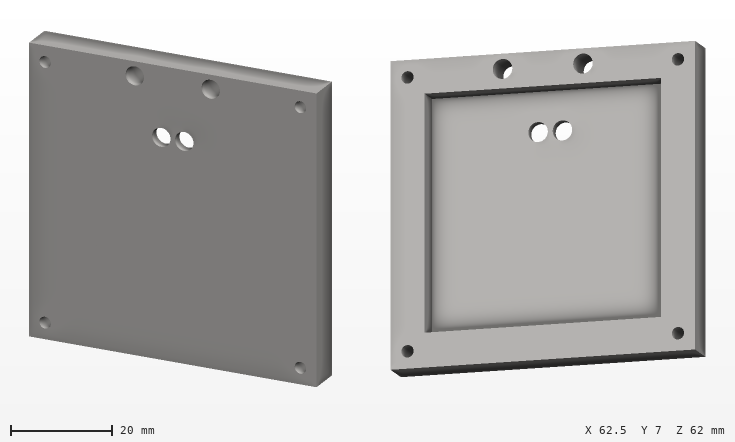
import cadquery as cq

width = 62.5
thickness = 7.0
height = 62.0

mount_diameter = 2.5
mount_inset = 3.5

port_diameter = 4.0
upper_spacing = 16.5
upper_top_distance = 3.05
lower_spacing = 5.0
lower_top_distance = 15.05

rim_width = 2 * mount_inset
floor_thickness = 2.0


def drill(body, points, diameter):
    """Drill through the full thickness at (x, z) points measured from the plate centre."""
    return body.faces("<Y").workplane(origin=(0, 0, 0)).pushPoints(points).hole(diameter)


def mirrored_pair(spacing, top_distance):
    """Two points at the same height, equally far left and right of centre."""
    z = height / 2 - top_distance
    return [(side * spacing / 2, z) for side in (-1, 1)]


mount_spacing = width - 2 * mount_inset
mount_points = []
for top_distance in (mount_inset, height - mount_inset):
    mount_points += mirrored_pair(mount_spacing, top_distance)

port_points = mirrored_pair(upper_spacing, upper_top_distance)
port_points += mirrored_pair(lower_spacing, lower_top_distance)

plate = cq.Workplane("XY").box(width, thickness, height)

recess_depth = thickness - floor_thickness
recess = cq.Workplane("XY").box(width - 2 * rim_width, recess_depth, height - 2 * rim_width)
plate = plate.cut(recess.translate((0, thickness / 2 - recess_depth / 2, 0)))

plate = drill(plate, mount_points, mount_diameter)
result = drill(plate, port_points, port_diameter)